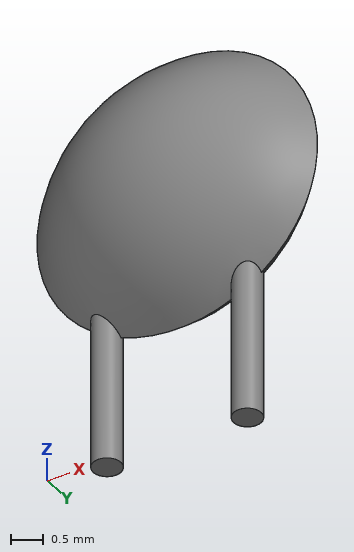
import cadquery as cq

overall_height = 7.1
disc_diameter = 5.0
disc_thickness = 2.5
lead_diameter = 0.5
lead_spacing = 2.5

disc_radius = disc_diameter / 2
half_thickness = disc_thickness / 2
sphere_radius = (disc_radius**2 + half_thickness**2) / (2 * half_thickness)
sphere_offset = sphere_radius - half_thickness
lead_bottom = disc_radius - overall_height


def lens_body():
    """Overlap of two equal spheres set apart along Y: two domes meeting at a sharp rim."""
    front_dome = cq.Workplane("XY").sphere(sphere_radius).translate((0, sphere_offset, 0))
    back_dome = cq.Workplane("XY").sphere(sphere_radius).translate((0, -sphere_offset, 0))
    return front_dome.intersect(back_dome)


def leads():
    """Two round wires running from the disc's mid height down to the bottom."""
    return (
        cq.Workplane("XY", origin=(0, 0, lead_bottom))
        .pushPoints([(-lead_spacing / 2, 0), (lead_spacing / 2, 0)])
        .circle(lead_diameter / 2)
        .extrude(-lead_bottom)
    )


result = lens_body().union(leads())